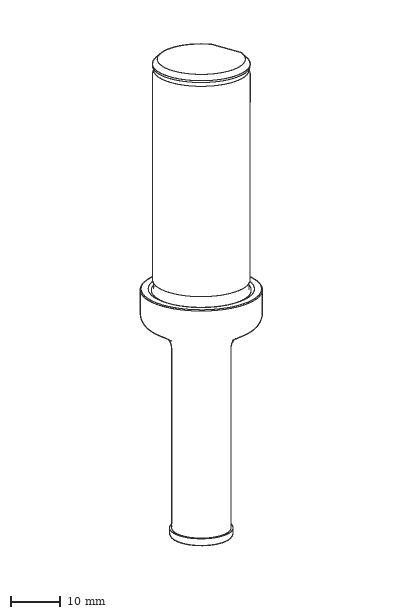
import cadquery as cq
import math


shank_diameter = 19.99
shank_length = 50.0
end_chamfer = 1.0

relief_diameter = 19.5
end_relief_top = 48.6
end_relief_round_radius = 1.85
end_relief_ramp_angle = 15.0
collar_relief_top = 2.0
collar_relief_round_radius = 1.0

undercut_diameter = 21.7
undercut_depth = 0.3
undercut_ramp_angle = 25.0
undercut_corner_radius = 0.4

flat_distance = 8.14
flat_floor = 3.7
flat_corner_radius = 2.3

collar_diameter = 25.0
collar_edge_chamfer = 0.2
collar_straight_height = 5.2
collar_cone_slope = 30.0
collar_round_radius = 2.8
stem_round_radius = 4.3

stem_diameter = 12.15
stem_end = -52.0

tip_diameter = 13.0
tip_end = -54.0
tip_round_radius = 0.6
tip_cone_slope = 4.0
tip_flat_diameter = 2.89

shank_radius = shank_diameter / 2
relief_radius = relief_diameter / 2
undercut_radius = undercut_diameter / 2
collar_radius = collar_diameter / 2
stem_radius = stem_diameter / 2
tip_radius = tip_diameter / 2
tip_flat_radius = tip_flat_diameter / 2


def tan_degrees(angle):
    return math.tan(math.radians(angle))


def arc_point(center, radius, angle):
    """Point on a circle, with the angle in degrees from the outward radial direction."""
    turn = math.radians(angle)
    return (center[0] + radius * math.cos(turn), center[1] + radius * math.sin(turn))


def revolve_profile(profile):
    """Close a (radius, height) profile and turn it around the Z axis."""
    return profile.close().revolve(360, (0, 0, 0), (0, 1, 0))


def relief_round(top, radius):
    """Start, middle and end of the arc from a groove's floor up to the shank's surface."""
    depth = shank_radius - relief_radius
    sweep = math.degrees(math.acos((radius - depth) / radius))
    center = (relief_radius + radius, top - radius * math.sin(math.radians(sweep)))
    return [arc_point(center, radius, 180 - part * sweep) for part in (0, 0.5, 1)]


def make_turned_blank():
    """Stem, collar and shank as one turned shape, before the flat is cut."""
    cone_normal = collar_cone_slope - 90
    tangent_factor = tan_degrees(-cone_normal / 2)
    cone_height = (collar_radius - stem_radius) * tan_degrees(collar_cone_slope)

    collar_center = (collar_radius - collar_round_radius, -collar_straight_height)
    collar_arc_start = arc_point(collar_center, collar_round_radius, cone_normal)
    collar_arc_middle = arc_point(collar_center, collar_round_radius, cone_normal / 2)

    cone_top = -collar_straight_height - collar_round_radius * tangent_factor
    stem_top = cone_top - cone_height - stem_round_radius * tangent_factor
    stem_center = (stem_radius + stem_round_radius, stem_top)
    stem_arc_middle = arc_point(stem_center, stem_round_radius, 180 + cone_normal / 2)
    stem_arc_end = arc_point(stem_center, stem_round_radius, 180 + cone_normal)

    undercut_ramp_end = undercut_radius - undercut_depth / tan_degrees(undercut_ramp_angle)
    undercut_center = (
        relief_radius + undercut_corner_radius,
        undercut_corner_radius - undercut_depth,
    )
    undercut_middle = arc_point(undercut_center, undercut_corner_radius, 225)

    collar_relief = relief_round(collar_relief_top, collar_relief_round_radius)
    end_relief = relief_round(end_relief_top, end_relief_round_radius)
    ramp_length = (shank_radius - relief_radius) / tan_degrees(end_relief_ramp_angle)
    ramp_bottom = end_relief[0][1] - ramp_length

    profile = (
        cq.Workplane("XZ")
        .moveTo(0, stem_end)
        .lineTo(stem_radius, stem_end)
        .lineTo(stem_radius, stem_top)
        .threePointArc(stem_arc_middle, stem_arc_end)
        .lineTo(*collar_arc_start)
        .threePointArc(collar_arc_middle, (collar_radius, -collar_straight_height))
        .lineTo(collar_radius, -collar_edge_chamfer)
        .lineTo(collar_radius - collar_edge_chamfer, 0)
        .lineTo(undercut_radius, 0)
        .lineTo(undercut_ramp_end, -undercut_depth)
        .lineTo(undercut_center[0], -undercut_depth)
        .threePointArc(undercut_middle, (relief_radius, undercut_center[1]))
        .lineTo(*collar_relief[0])
        .threePointArc(collar_relief[1], collar_relief[2])
        .lineTo(shank_radius, ramp_bottom)
        .lineTo(*end_relief[0])
        .threePointArc(end_relief[1], end_relief[2])
        .lineTo(shank_radius, shank_length - end_chamfer)
        .lineTo(shank_radius - end_chamfer, shank_length)
        .lineTo(0, shank_length)
    )
    return revolve_profile(profile)


def make_flat_cutter():
    """Stock removed beside the flat, with a rounded corner at its lower end."""
    height = shank_length - flat_floor
    block = cq.Workplane("XY").box(shank_diameter, shank_radius, height, centered=(True, False, False))
    block = block.edges("<Y and <Z").fillet(flat_corner_radius)
    return block.translate((0, flat_distance, flat_floor))


def make_holder():
    """Shank, collar and stem, with the clamping flat."""
    return make_turned_blank().cut(make_flat_cutter())


def make_tip():
    """Disc on the stem's end, with a rounded rim and a shallow cone down to a small flat."""
    cone_normal = tip_cone_slope - 90
    center_radius = tip_radius - tip_round_radius
    cone_rise = (center_radius - tip_flat_radius) * tan_degrees(tip_cone_slope)
    round_rise = tip_round_radius / math.cos(math.radians(tip_cone_slope))
    round_center = (center_radius, tip_end + cone_rise + round_rise)
    round_start = arc_point(round_center, tip_round_radius, cone_normal)
    round_middle = arc_point(round_center, tip_round_radius, cone_normal / 2)

    profile = (
        cq.Workplane("XZ")
        .moveTo(0, tip_end)
        .lineTo(tip_flat_radius, tip_end)
        .lineTo(*round_start)
        .threePointArc(round_middle, (tip_radius, round_center[1]))
        .lineTo(tip_radius, stem_end)
        .lineTo(0, stem_end)
    )
    return revolve_profile(profile)


holder = make_holder()
tip = make_tip()

result = cq.Compound.makeCompound([holder.val(), tip.val()])